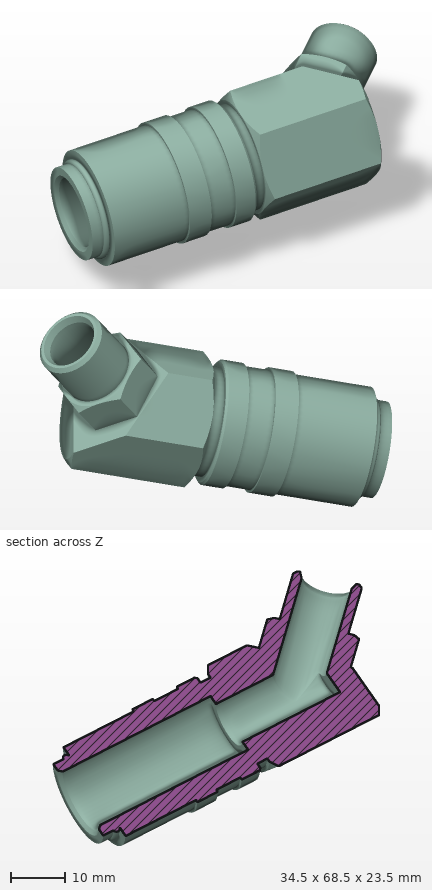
import cadquery as cq
import math

BRANCH_ANGLE = 45.0
OVERALL_LENGTH = 68.5
HEX_CHAMFER_ANGLE = 30.0

tip_end = 2.2
sleeve_start = 3.5
front_collar_start, front_collar_end = 18.6, 23.1
rear_collar_start, rear_collar_end = 28.15, 32.5
hex_start, hex_end = 34.5, 58.15

tip_radius = 9.05
lip_radius = 9.65
sleeve_radius = 11.2
collar_radius = 23.5 / 2
neck_radius = 10.3
collar_chamfer = 0.4
hex_flats = 22.1

mouth_radius = 7.4
mouth_chamfer = 0.7
socket_bore_radius = mouth_radius - mouth_chamfer
socket_bore_depth = rear_collar_end
passage_radius = 4.7

cut_distance = 7.05
nut_end = 14.05
tube_end = 24.85
nut_flats = 15.2
tube_radius = 6.6
tube_chamfer = 0.7
flare_radius = 5.35
flare_depth = 1.3

branch_slant = math.radians(BRANCH_ANGLE)
tube_end_radius = tube_radius - tube_chamfer
branch_y = OVERALL_LENGTH - tube_end * math.cos(branch_slant) - tube_end_radius * math.sin(branch_slant)

passage_end = branch_y + passage_radius / math.sin(branch_slant)


def along_socket(shape):
    """Turn a shape built along +Z so that it runs along +Y."""
    return shape.rotate((0, 0, 0), (1, 0, 0), -90)


def along_branch(shape):
    """Turn a shape built along +Z onto the branch axis."""
    turned = along_socket(shape).rotate((0, 0, 0), (0, 0, 1), BRANCH_ANGLE)
    return turned.translate((0, branch_y, 0))


def cylinder(radius, start, end):
    return cq.Workplane("XY").workplane(offset=start).circle(radius).extrude(end - start)


def cone(start_radius, end_radius, start, end):
    profile = [(0, start), (start_radius, start), (end_radius, end), (0, end)]
    return cq.Workplane("XZ").polyline(profile).close().revolve(360, (0, 0, 0), (0, 1, 0))


def hexagon(flats, start, end, chamfer_start, chamfer_end):
    """Hexagonal bar with corners on +X and -X; chosen ends have their corners turned off."""
    corner_radius = flats / 2 / math.cos(math.radians(30))
    slope = math.tan(math.radians(HEX_CHAMFER_ANGLE))
    turned_length = (corner_radius - flats / 2) * slope
    bar = cq.Workplane("XY").workplane(offset=start).polygon(6, 2 * corner_radius).extrude(end - start)
    profile = [(0, start)]
    if chamfer_start:
        profile += [(flats / 2, start), (corner_radius, start + turned_length)]
    else:
        profile += [(corner_radius, start)]
    if chamfer_end:
        profile += [(corner_radius, end - turned_length), (flats / 2, end)]
    else:
        profile += [(corner_radius, end)]
    profile += [(0, end)]
    envelope = cq.Workplane("XZ").polyline(profile).close().revolve(360, (0, 0, 0), (0, 1, 0))
    return bar.intersect(envelope)


def make_socket():
    """Stepped round body with two collars and a rounded lip behind the tip."""
    lip_middle = (tip_end + sleeve_start) / 2
    lip_half_width = (sleeve_start - tip_end) / 2
    lip_height = lip_radius - tip_radius
    mid_radius = tip_radius + lip_height * math.sin(math.radians(45))
    mid_offset = lip_half_width * math.cos(math.radians(45))
    outline = (
        cq.Workplane("XZ")
        .moveTo(0, 0)
        .lineTo(tip_radius, 0)
        .lineTo(tip_radius, tip_end)
        .threePointArc((mid_radius, lip_middle - mid_offset), (lip_radius, lip_middle))
        .threePointArc((mid_radius, lip_middle + mid_offset), (tip_radius, sleeve_start))
        .lineTo(sleeve_radius, sleeve_start)
        .lineTo(sleeve_radius, front_collar_start)
        .lineTo(collar_radius, front_collar_start)
        .lineTo(collar_radius, front_collar_end)
        .lineTo(sleeve_radius, front_collar_end)
        .lineTo(sleeve_radius, rear_collar_start)
        .lineTo(collar_radius, rear_collar_start)
        .lineTo(collar_radius, rear_collar_end - collar_chamfer)
        .lineTo(collar_radius - collar_chamfer, rear_collar_end)
        .lineTo(neck_radius, rear_collar_end)
        .lineTo(neck_radius, hex_start)
        .lineTo(0, hex_start)
        .close()
    )
    return along_socket(outline.revolve(360, (0, 0, 0), (0, 1, 0)))


def make_hex_body():
    """Large hexagon, cut off square to the branch axis."""
    body = along_socket(hexagon(hex_flats, hex_start, hex_end, True, True))
    cutter_size = 4 * hex_flats
    cutter = (
        cq.Workplane("XY")
        .workplane(offset=cut_distance)
        .rect(cutter_size, cutter_size)
        .extrude(cutter_size)
    )
    return body.cut(along_branch(cutter))


def make_branch():
    """Small hexagon and the tube with its chamfered end; both start inside the large hexagon."""
    nut = hexagon(nut_flats, cut_distance, nut_end, False, True)
    tube = cylinder(tube_radius, cut_distance, tube_end).faces(">Z").chamfer(tube_chamfer)
    return along_branch(nut.union(tube))


def make_socket_bore():
    mouth = cone(mouth_radius, socket_bore_radius, 0, mouth_chamfer)
    bore = cylinder(socket_bore_radius, 0, socket_bore_depth)
    passage = cylinder(passage_radius, 0, passage_end)
    return along_socket(mouth.union(bore).union(passage))


def make_branch_bore():
    bore = cylinder(passage_radius, 0, tube_end)
    flare = cone(passage_radius, flare_radius, tube_end - flare_depth, tube_end)
    return along_branch(bore.union(flare))


solid_body = make_socket().union(make_hex_body()).union(make_branch())
result = solid_body.cut(make_socket_bore()).cut(make_branch_bore())